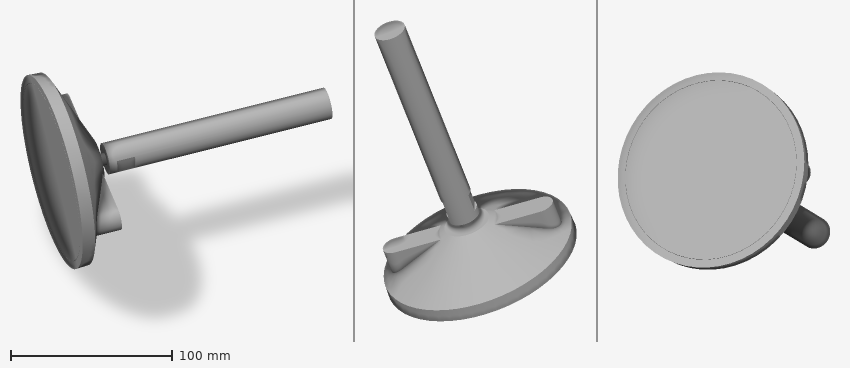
import cadquery as cq

overall_height = 180.0

base_diameter = 124.0
rim_top_diameter = 123.1
rim_height = 8.3
cone_top_diameter = 29.2
cone_top_height = 29.9

pad_diameter = 113.5
recess_diameter = 114.0
groove_depth = 1.8

bar_length = 111.2
bar_width = 16.2
bar_top_height = 27.7

ball_diameter = 12.5
neck_diameter = 7.7
neck_start_height = 31.5

spindle_diameter = 20.0
spindle_start_height = 35.0
flat_start_height = 39.8
flat_length = 11.9
across_flats = 17.0


def cylinder(diameter, start, end):
    """Cylinder on the Y axis between two heights."""
    return (
        cq.Workplane("XZ", origin=(0, start, 0))
        .circle(diameter / 2)
        .extrude(start - end)
    )


def make_plate():
    """Tapered rim and cone, turned about the Y axis."""
    return (
        cq.Workplane("XY")
        .polyline([
            (0, 0),
            (base_diameter / 2, 0),
            (rim_top_diameter / 2, rim_height),
            (cone_top_diameter / 2, cone_top_height),
            (0, cone_top_height),
        ])
        .close()
        .revolve(360, (0, 0, 0), (0, 1, 0))
    )


def make_pad_groove():
    outer = cylinder(recess_diameter, 0, groove_depth)
    return outer.cut(cylinder(pad_diameter, 0, groove_depth))


def make_bar():
    """Round-ended bar, rooted inside the plate."""
    return (
        cq.Workplane("XZ", origin=(0, rim_height, 0))
        .slot2D(bar_length, bar_width)
        .extrude(rim_height - bar_top_height)
    )


def make_joint():
    """Ball sunk into the cone, with the neck leaving its upper side."""
    ball_rise = ((ball_diameter / 2) ** 2 - (neck_diameter / 2) ** 2) ** 0.5
    ball_height = neck_start_height - ball_rise
    ball = cq.Workplane("XY", origin=(0, ball_height, 0)).sphere(ball_diameter / 2)
    return ball.union(cylinder(neck_diameter, ball_height, spindle_start_height))


def make_spindle():
    spindle = cylinder(spindle_diameter, spindle_start_height, overall_height)
    flat_depth = (spindle_diameter - across_flats) / 2
    for side in (-1, 1):
        flat_cutter = cq.Workplane("XY").box(flat_depth, flat_length, spindle_diameter)
        flat_x = side * (across_flats + flat_depth) / 2
        flat_y = flat_start_height + flat_length / 2
        spindle = spindle.cut(flat_cutter.translate((flat_x, flat_y, 0)))
    return spindle


foot = make_plate().union(make_bar()).cut(make_pad_groove())
result = foot.union(make_joint()).union(make_spindle())